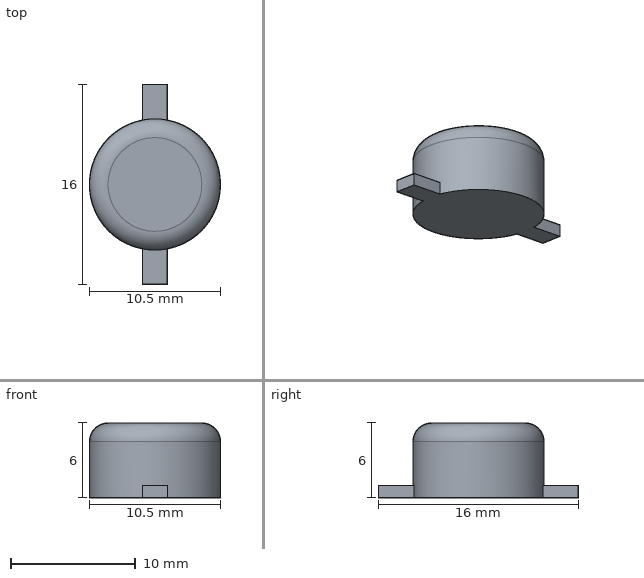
import cadquery as cq

cap_diameter = 10.5
cap_height = 6.0
top_edge_radius = 1.5

tab_span = 16.0
tab_width = 2.0
tab_thickness = 1.0


def make_cap():
    """Cylinder standing on Z = 0 with a rounded top edge."""
    cap = cq.Workplane("XY").circle(cap_diameter / 2).extrude(cap_height)
    return cap.faces(">Z").edges().fillet(top_edge_radius)


def make_tabs():
    """One bar through the base of the cap forms both tabs."""
    return cq.Workplane("XY").rect(tab_width, tab_span).extrude(tab_thickness)


result = make_cap().union(make_tabs())